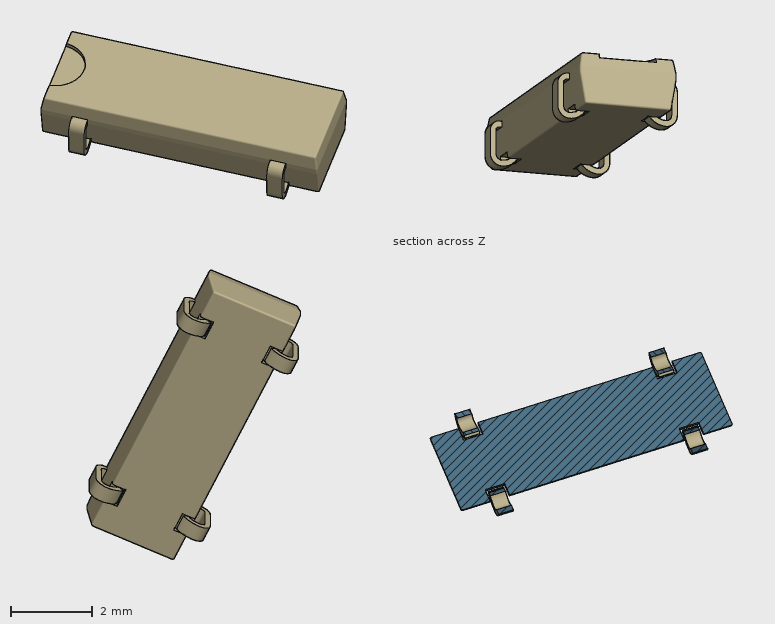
import cadquery as cq
import math

body_length = 7.1
body_width = 2.5
top_z = 1.5
body_bottom_z = 0.2
parting_z = 1.135
draft_angle = 10.0
edge_radius = 0.05

mark_radius = 0.74
mark_depth = 0.11

lead_pitch = 5.08
lead_span = 3.1
lead_width = 0.4
lead_thickness = 0.15
shoulder_radius = 0.25
heel_radius = 0.3
toe_radius = 0.55
toe_angle = 53.0

pocket_clearance = 0.05
pocket_height = 0.15

half_length = body_length / 2
half_width = body_width / 2
band_bottom_z = parting_z - lead_thickness
roof_inset = (top_z - parting_z) * math.tan(math.radians(draft_angle))
base_inset = (band_bottom_z - body_bottom_z) * math.tan(math.radians(draft_angle))

lead_outer_y = lead_span / 2
lead_inner_y = lead_outer_y - lead_thickness
shoulder_y = lead_outer_y - shoulder_radius
shoulder_z = parting_z - shoulder_radius
heel_y = lead_outer_y - heel_radius
tip_y = heel_y - toe_radius * math.sin(math.radians(toe_angle))
pocket_inner_y = tip_y - pocket_clearance
pocket_width = lead_width + 2 * pocket_clearance


def make_blank():
    """Body with drafted sides, before its pockets and mark are cut."""
    cross_section = (
        cq.Workplane("YZ", origin=(-half_length, 0, 0))
        .moveTo(half_width - base_inset, body_bottom_z)
        .lineTo(half_width, band_bottom_z)
        .lineTo(half_width, parting_z)
        .lineTo(half_width - roof_inset, top_z)
        .lineTo(roof_inset - half_width, top_z)
        .lineTo(-half_width, parting_z)
        .lineTo(-half_width, band_bottom_z)
        .lineTo(base_inset - half_width, body_bottom_z)
        .close()
        .extrude(body_length)
    )
    long_section = (
        cq.Workplane("XZ", origin=(0, half_width, 0))
        .moveTo(half_length, body_bottom_z)
        .lineTo(half_length, parting_z)
        .lineTo(half_length - roof_inset, top_z)
        .lineTo(roof_inset - half_length, top_z)
        .lineTo(-half_length, parting_z)
        .lineTo(-half_length, body_bottom_z)
        .close()
        .extrude(body_width)
    )
    blank = cross_section.intersect(long_section)
    outer_edges = blank.faces(">Z or <Z").edges()
    corner_edges = blank.edges("not(#Z or |X)")
    return outer_edges.add(corner_edges).fillet(edge_radius)


def make_mark():
    """Disc that cuts the half-round pin-1 mark."""
    return (
        cq.Workplane("XY", origin=(-half_length, 0, top_z - mark_depth))
        .circle(mark_radius)
        .extrude(mark_depth)
    )


def make_pocket(x, side):
    """Block that cuts the recess for one lead tip, open below and outward."""
    depth = half_width - pocket_inner_y
    return cq.Workplane("XY", origin=(x, side * (pocket_inner_y + depth / 2), body_bottom_z)).box(
        pocket_width, depth, pocket_height, centered=(True, True, False)
    )


def make_body(places):
    """Finished housing with the pin-1 mark and one pocket per lead."""
    body = make_blank().cut(make_mark())
    for x, side in places:
        body = body.cut(make_pocket(x, side))
    return body


def arc_point(center_y, center_z, radius, angle):
    """Point on an arc; the angle is in degrees from +Y towards +Z."""
    turn = math.radians(angle)
    return (center_y + radius * math.cos(turn), center_z + radius * math.sin(turn))


def make_lead(x, side):
    """J-shaped lead bent outward from the body wall and curled under it."""
    shoulder_inner = shoulder_radius - lead_thickness
    heel_inner = heel_radius - lead_thickness
    toe_inner = toe_radius - lead_thickness
    bottom = -90
    tip = bottom - toe_angle
    toe_middle = bottom - toe_angle / 2
    lead = (
        cq.Workplane("YZ", origin=(x - lead_width / 2, 0, 0))
        .moveTo(half_width, parting_z)
        .lineTo(shoulder_y, parting_z)
        .threePointArc(arc_point(shoulder_y, shoulder_z, shoulder_radius, 45), (lead_outer_y, shoulder_z))
        .lineTo(lead_outer_y, heel_radius)
        .threePointArc(arc_point(heel_y, heel_radius, heel_radius, -45), (heel_y, 0))
        .threePointArc(
            arc_point(heel_y, toe_radius, toe_radius, toe_middle),
            arc_point(heel_y, toe_radius, toe_radius, tip),
        )
        .lineTo(*arc_point(heel_y, toe_radius, toe_inner, tip))
        .threePointArc(arc_point(heel_y, toe_radius, toe_inner, toe_middle), (heel_y, lead_thickness))
        .threePointArc(arc_point(heel_y, heel_radius, heel_inner, -45), (lead_inner_y, heel_radius))
        .lineTo(lead_inner_y, shoulder_z)
        .threePointArc(arc_point(shoulder_y, shoulder_z, shoulder_inner, 45), (shoulder_y, band_bottom_z))
        .lineTo(half_width, band_bottom_z)
        .close()
        .extrude(lead_width)
    )
    return lead if side > 0 else lead.mirror("XZ")


lead_places = [(x, side) for x in (-lead_pitch / 2, lead_pitch / 2) for side in (-1, 1)]

body = make_body(lead_places)
leads = [make_lead(x, side) for x, side in lead_places]

result = cq.Compound.makeCompound([body.val(), *[lead.val() for lead in leads]])